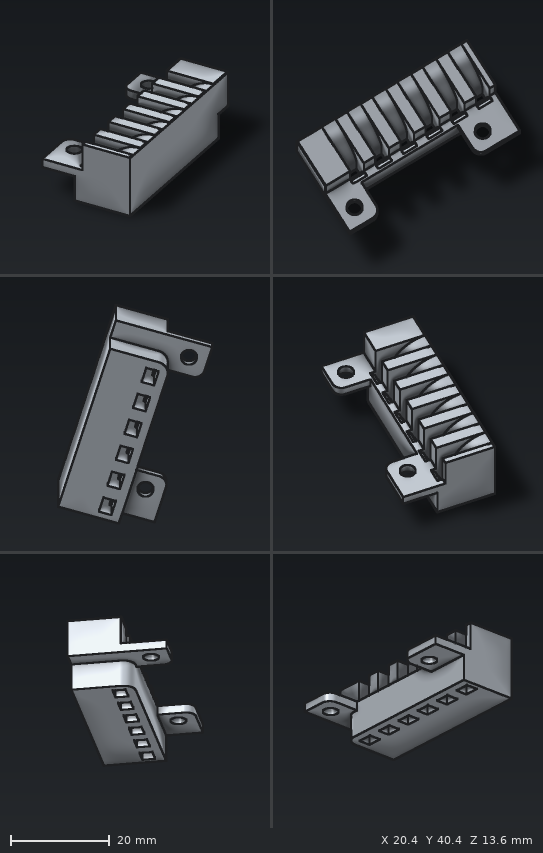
import cadquery as cq
import math

width_x = 20.4
length_y = 40.4
height_z = 13.6

plate_top = 7.65
plate_thickness = 1.98
plate_bottom = plate_top - plate_thickness
front_ear_length = 10.0
rear_ear_length = 7.47
ear_corner_radius = 2.0
hole_diameter = 3.2
hole_x = 3.88
front_hole_y = 6.42
rear_hole_y = 36.85

base_x = 7.55
base_length = 36.45
base_corner_radius = 2.63
block_x = 9.37
edge_chamfer = 0.12

slot_count = 6
slot_width = 3.25
slot_pitch = 5.98
first_slot_y = 1.37
ramp_x = 8.2
upper_lip_x = 9.2
throat_x = 9.98
lip_undercut = 0.4
barrel_radius = 8.2
barrel_x = width_x - barrel_radius
barrel_drop = edge_chamfer
barrel_top = height_z - barrel_drop
barrel_center_z = barrel_top - barrel_radius
cut_clearance = 0.4


def box(x_min, x_max, y_min, y_max, z_min, z_max):
    """Box spanning the given limits."""
    size = (x_max - x_min, y_max - y_min, z_max - z_min)
    return cq.Workplane("XY").box(*size, centered=False).translate((x_min, y_min, z_min))


def make_ear(y_min, y_max, inner_corner):
    """Plate ear rounded at the corner that faces the other ear."""
    ear = box(0, width_x, y_min, y_max, plate_bottom, plate_top)
    return ear.edges("|Z").edges("<X").edges(inner_corner).fillet(ear_corner_radius)


def make_plate():
    """Strip along the base with a drilled ear at each end."""
    strip = box(base_x, width_x, 0, length_y, plate_bottom, plate_top)
    front_ear = make_ear(0, front_ear_length, ">Y")
    rear_ear = make_ear(length_y - rear_ear_length, length_y, "<Y")
    holes = (
        cq.Workplane("XY")
        .workplane(offset=plate_bottom)
        .pushPoints([(hole_x, front_hole_y), (hole_x, rear_hole_y)])
        .circle(hole_diameter / 2)
        .extrude(plate_thickness)
    )
    return strip.union(front_ear).union(rear_ear).cut(holes)


def make_base():
    """Lower body, shorter than the plate, with one rounded rear corner."""
    base = box(base_x, width_x, 0, base_length, 0, plate_bottom)
    return base.edges("|Z").edges("<X").edges(">Y").fillet(base_corner_radius)


def make_block():
    """Upper block with its rear and +X edges slightly broken."""
    block = box(block_x, width_x, 0, length_y, plate_top, height_z)
    block = block.edges("|Z").edges("<X").edges(">Y").chamfer(edge_chamfer)
    return block.faces(">Z").edges(">X or >Y").chamfer(edge_chamfer)


def make_slot(y_min):
    """Slot void: two 45 degree ramps with undercut lips on the -X side, convex barrel on the +X side."""
    arc_middle_x = width_x - barrel_radius * math.cos(math.radians(45))
    arc_middle_z = barrel_center_z + barrel_radius * math.sin(math.radians(45))
    upper_lip_z = plate_top - (upper_lip_x - ramp_x)
    lower_ramp_x = upper_lip_x - lip_undercut
    lower_ramp_z = upper_lip_z - lip_undercut
    throat_z = lower_ramp_z - (throat_x - lower_ramp_x)
    shaft_x = throat_x - lip_undercut
    above = height_z + cut_clearance
    profile = (
        cq.Workplane("XZ")
        .moveTo(ramp_x, plate_top)
        .lineTo(upper_lip_x, upper_lip_z)
        .lineTo(lower_ramp_x, lower_ramp_z)
        .lineTo(throat_x, throat_z)
        .lineTo(shaft_x, throat_z - lip_undercut)
        .lineTo(shaft_x, -cut_clearance)
        .lineTo(barrel_x, -cut_clearance)
        .lineTo(barrel_x, barrel_center_z)
        .threePointArc((arc_middle_x, arc_middle_z), (width_x, barrel_top))
        .lineTo(width_x + cut_clearance, barrel_top)
        .lineTo(width_x + cut_clearance, above)
        .lineTo(ramp_x, above)
        .close()
    )
    return profile.extrude(-slot_width).translate((0, y_min, 0))


result = make_base().union(make_plate()).union(make_block())
for index in range(slot_count):
    result = result.cut(make_slot(first_slot_y + index * slot_pitch))